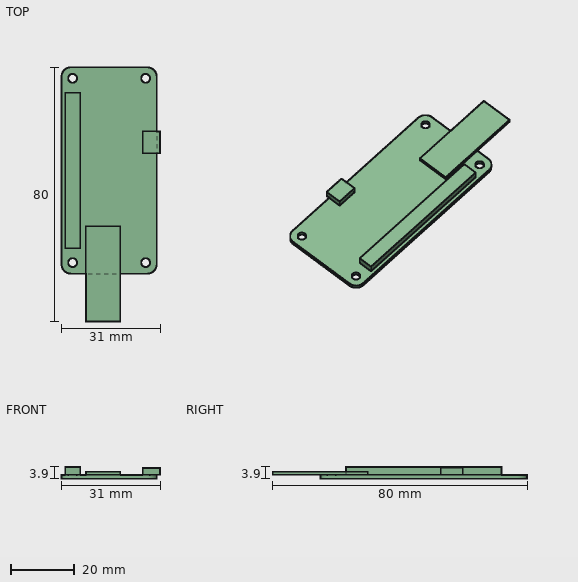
import cadquery as cq

board_width = 30.0
board_length = 65.0
board_thickness = 1.3
corner_radius = 3.0
hole_diameter = 2.7
hole_inset = 3.5

header_width = 4.8
header_length = 49.0
header_height = 2.6
header_side_gap = 1.2
header_end_gap = 8.0

connector_width = 5.5
connector_length = 7.0
connector_height = 2.2
connector_overhang = 1.0
connector_end_gap = 20.2

overall_length = 80.0
strip_width = 10.9
strip_length = 29.9
strip_thickness = 1.0
strip_side_gap = 7.7


def make_board():
    """Rounded plate with a mounting hole near each corner."""
    plate = cq.Workplane("XY").box(board_width, board_length, board_thickness, centered=False)
    plate = plate.edges("|Z").fillet(corner_radius)
    holes = [
        (x, y)
        for x in (hole_inset, board_width - hole_inset)
        for y in (hole_inset, board_length - hole_inset)
    ]
    drills = cq.Workplane("XY").pushPoints(holes).circle(hole_diameter / 2).extrude(board_thickness)
    return plate.cut(drills)


def block_on_board(left, front, width, length, height):
    """Rectangular block standing on the top face of the board."""
    block = cq.Workplane("XY").box(width, length, height, centered=False)
    return block.translate((left, front, board_thickness))


header = block_on_board(
    header_side_gap,
    board_length - header_end_gap - header_length,
    header_width,
    header_length,
    header_height,
)
connector = block_on_board(
    board_width + connector_overhang - connector_width,
    board_length - connector_end_gap - connector_length,
    connector_width,
    connector_length,
    connector_height,
)
strip = block_on_board(
    strip_side_gap,
    board_length - overall_length,
    strip_width,
    strip_length,
    strip_thickness,
)

result = make_board().union(header).union(connector).union(strip)